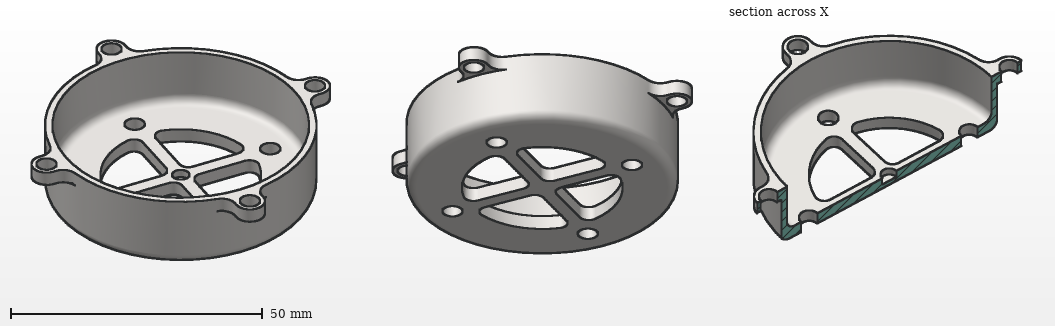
import cadquery as cq
import math

ear_tip_span = 66.0
height = 15.0
body_diameter = 54.0
bore_diameter = 51.0
floor_thickness = 3.0
corner_radius = 2.0

ear_width = 6.0
ear_thickness = 3.0
ear_blend_radius = 3.0
hole_diameter = 4.0

floor_hole_radius = 20.0
window_radius = 16.0
window_corner_radius = 2.0
spoke_width = 3.0
recess_diameter = 3.4
recess_depth = 1.7

quarter_turns = (0, 90, 180, 270)
body_radius = body_diameter / 2
ear_half_width = ear_width / 2
ear_hole_radius = ear_tip_span / 2 - ear_half_width


def cylinder(diameter, depth, z, x=0, y=0):
    """Vertical cylinder whose bottom face lies at height z."""
    return cq.Workplane("XY", origin=(x, y, z)).circle(diameter / 2).extrude(depth)


def around_axis(shape):
    """Four copies of a shape, a quarter turn apart."""
    copies = cq.Workplane("XY")
    for angle in quarter_turns:
        copies = copies.add(shape.rotate((0, 0, 0), (0, 0, 1), angle))
    return copies.combine()


def make_ear():
    """Ear pointing along +X, blended into the round wall by concave arcs."""
    blend_y = ear_half_width + ear_blend_radius
    center_distance = body_radius + ear_blend_radius
    blend_x = math.sqrt(center_distance**2 - blend_y**2)
    wall_x = blend_x * body_radius / center_distance
    wall_y = blend_y * body_radius / center_distance
    base_z = height - ear_thickness
    web_outline = [
        (0, 0),
        (wall_x, wall_y),
        (blend_x, blend_y),
        (blend_x, ear_half_width),
        (ear_hole_radius, ear_half_width),
        (ear_hole_radius, -ear_half_width),
        (blend_x, -ear_half_width),
        (blend_x, -blend_y),
        (wall_x, -wall_y),
    ]
    ear = cq.Workplane("XY", origin=(0, 0, base_z)).polyline(web_outline).close().extrude(ear_thickness)
    for y in (blend_y, -blend_y):
        ear = ear.cut(cylinder(2 * ear_blend_radius, ear_thickness, base_z, blend_x, y))
    return ear.union(cylinder(ear_width, ear_thickness, base_z, ear_hole_radius))


def make_window():
    """Quarter-disc opening between two spokes, with rounded corners."""
    edge = spoke_width / 2
    reach = math.sqrt(window_radius**2 - edge**2)
    middle = window_radius * math.sqrt(0.5)
    return (
        cq.Workplane("XY")
        .moveTo(edge, edge)
        .lineTo(reach, edge)
        .threePointArc((middle, middle), (edge, reach))
        .close()
        .extrude(floor_thickness)
        .edges("|Z")
        .fillet(window_corner_radius)
    )


body = cylinder(body_diameter, height, 0).faces("<Z").edges().fillet(corner_radius)
body = body.union(around_axis(make_ear()))
bore = cylinder(bore_diameter, height - floor_thickness, floor_thickness)
body = body.cut(bore.faces("<Z").edges().fillet(corner_radius))

ear_hole = cylinder(hole_diameter, height, 0, ear_hole_radius)
floor_hole = cylinder(hole_diameter, floor_thickness, 0, floor_hole_radius)
for opening in (ear_hole, floor_hole, make_window()):
    body = body.cut(around_axis(opening))
result = body.cut(cylinder(recess_diameter, recess_depth, floor_thickness - recess_depth))